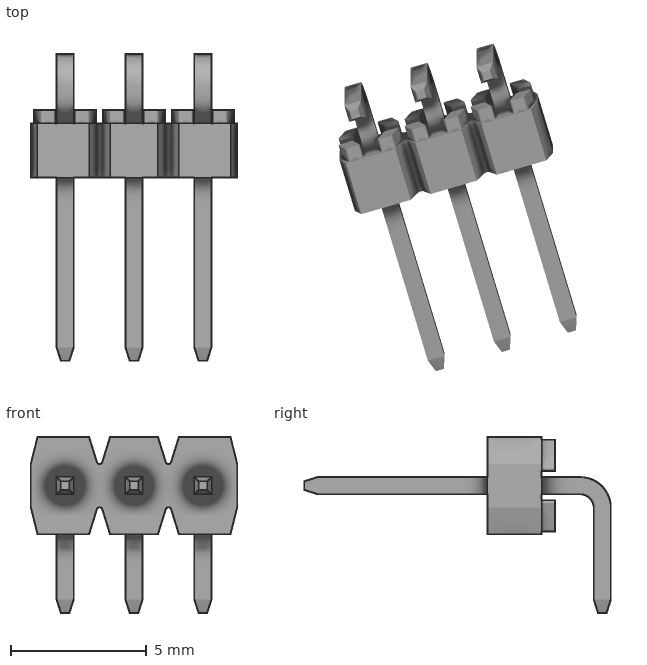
import cadquery as cq
import math

PIN_COUNT = 3
PITCH = 2.54

HOUSING_LENGTH = PIN_COUNT * PITCH
HOUSING_DEPTH = 2.0
HOUSING_HEIGHT = 3.6
END_BEVEL_X = 0.25
END_BEVEL_Z = 1.0

NOTCH_HALF_WIDTH = 0.385
NOTCH_DEPTH = 1.0
NOTCH_TIP_RADIUS = 0.1

PIN_SIZE = 0.64
PIN_FRONT_REACH = 6.76
LEG_REAR_OFFSET = 2.24
LEG_BOTTOM_Z = -4.7
BEND_INNER_RADIUS = 0.5
TIP_LENGTH = 0.5
TIP_SIZE = 0.32

STANDOFF_DEPTH = 0.5
STANDOFF_WIDTH = 0.57
STANDOFF_HEIGHT = 1.16
STANDOFF_SLANT = STANDOFF_HEIGHT * END_BEVEL_X / END_BEVEL_Z
STANDOFF_INNER_X = 0.32
STANDOFF_EDGE_INSET = 0.105
STANDOFF_FILLET = 0.1

HALF_LENGTH = HOUSING_LENGTH / 2
HALF_HEIGHT = HOUSING_HEIGHT / 2
HALF_PIN = PIN_SIZE / 2
PIN_POSITIONS = [(i - (PIN_COUNT - 1) / 2) * PITCH for i in range(PIN_COUNT)]


def extrude_back(profile, depth):
    """Extrude an XZ profile towards +Y."""
    return profile.extrude(-depth)


def make_notch(x):
    """Cutter for one top notch, its sides tangent to the rounded tip."""
    center_depth = NOTCH_DEPTH - NOTCH_TIP_RADIUS
    corner_distance = math.hypot(NOTCH_HALF_WIDTH, center_depth)
    side_angle = math.atan2(NOTCH_HALF_WIDTH, center_depth) - math.asin(NOTCH_TIP_RADIUS / corner_distance)
    tangent_x = NOTCH_TIP_RADIUS * math.cos(side_angle)
    tangent_z = HALF_HEIGHT - center_depth - NOTCH_TIP_RADIUS * math.sin(side_angle)
    profile = (
        cq.Workplane("XZ")
        .moveTo(x - NOTCH_HALF_WIDTH, HALF_HEIGHT)
        .lineTo(x - tangent_x, tangent_z)
        .threePointArc((x, HALF_HEIGHT - NOTCH_DEPTH), (x + tangent_x, tangent_z))
        .lineTo(x + NOTCH_HALF_WIDTH, HALF_HEIGHT)
        .close()
    )
    return extrude_back(profile, HOUSING_DEPTH)


def make_housing():
    """Block with bevelled ends, notched above and below between the positions."""
    bevel_start_x = HALF_LENGTH - END_BEVEL_X
    bevel_end_z = HALF_HEIGHT - END_BEVEL_Z
    outline = [
        (bevel_start_x, HALF_HEIGHT),
        (HALF_LENGTH, bevel_end_z),
        (HALF_LENGTH, -bevel_end_z),
        (bevel_start_x, -HALF_HEIGHT),
        (-bevel_start_x, -HALF_HEIGHT),
        (-HALF_LENGTH, -bevel_end_z),
        (-HALF_LENGTH, bevel_end_z),
        (-bevel_start_x, HALF_HEIGHT),
    ]
    housing = extrude_back(cq.Workplane("XZ").polyline(outline).close(), HOUSING_DEPTH)
    for pin_x in PIN_POSITIONS[:-1]:
        notch = make_notch(pin_x + PITCH / 2)
        housing = housing.cut(notch).cut(notch.mirror("XY"))
    return housing


def make_standoffs():
    """The four standoffs around the pin axis at X = 0, leaning outwards towards the pin level."""
    top_z = HALF_HEIGHT - STANDOFF_EDGE_INSET
    bottom_z = top_z - STANDOFF_HEIGHT
    outer_x = STANDOFF_INNER_X + STANDOFF_WIDTH
    outline = [
        (STANDOFF_INNER_X, top_z),
        (outer_x, top_z),
        (outer_x + STANDOFF_SLANT, bottom_z),
        (STANDOFF_INNER_X + STANDOFF_SLANT, bottom_z),
    ]
    profile = cq.Workplane("XZ", origin=(0, HOUSING_DEPTH, 0)).polyline(outline).close()
    upper_right = extrude_back(profile, STANDOFF_DEPTH).edges("|Y").fillet(STANDOFF_FILLET)
    upper_pair = upper_right.add(upper_right.mirror("YZ")).combine()
    return upper_pair.add(upper_pair.mirror("XY")).combine()


def make_tip(base_center, direction):
    """Tapered square pin end starting at base_center and pointing along direction."""
    taper = math.degrees(math.atan2((PIN_SIZE - TIP_SIZE) / 2, TIP_LENGTH))
    base = cq.Plane(origin=base_center, xDir=(1, 0, 0), normal=direction)
    return cq.Workplane(base).rect(PIN_SIZE, PIN_SIZE).extrude(TIP_LENGTH, taper=taper)


def make_pin():
    """Square pin at X = 0 with a rounded right-angle bend and both ends tapered."""
    leg_y = HOUSING_DEPTH + LEG_REAR_OFFSET
    front_y = TIP_LENGTH - PIN_FRONT_REACH
    leg_base_z = LEG_BOTTOM_Z + TIP_LENGTH
    bend_outer_radius = BEND_INNER_RADIUS + PIN_SIZE
    bend_y = leg_y + HALF_PIN - bend_outer_radius
    bend_z = HALF_PIN - bend_outer_radius
    shaft = (
        cq.Workplane("YZ", origin=(-HALF_PIN, 0, 0))
        .moveTo(front_y, HALF_PIN)
        .lineTo(bend_y, HALF_PIN)
        .radiusArc((leg_y + HALF_PIN, bend_z), bend_outer_radius)
        .lineTo(leg_y + HALF_PIN, leg_base_z)
        .lineTo(leg_y - HALF_PIN, leg_base_z)
        .lineTo(leg_y - HALF_PIN, bend_z)
        .radiusArc((bend_y, -HALF_PIN), -BEND_INNER_RADIUS)
        .lineTo(front_y, -HALF_PIN)
        .close()
        .extrude(PIN_SIZE)
    )
    front_tip = make_tip((0, front_y, 0), (0, -1, 0))
    leg_tip = make_tip((0, leg_y, leg_base_z), (0, 0, -1))
    return shaft.union(front_tip).union(leg_tip)


result = make_housing()
standoffs = make_standoffs()
pin = make_pin()
for pin_x in PIN_POSITIONS:
    result = result.union(standoffs.translate((pin_x, 0, 0)))
    result = result.union(pin.translate((pin_x, 0, 0)))